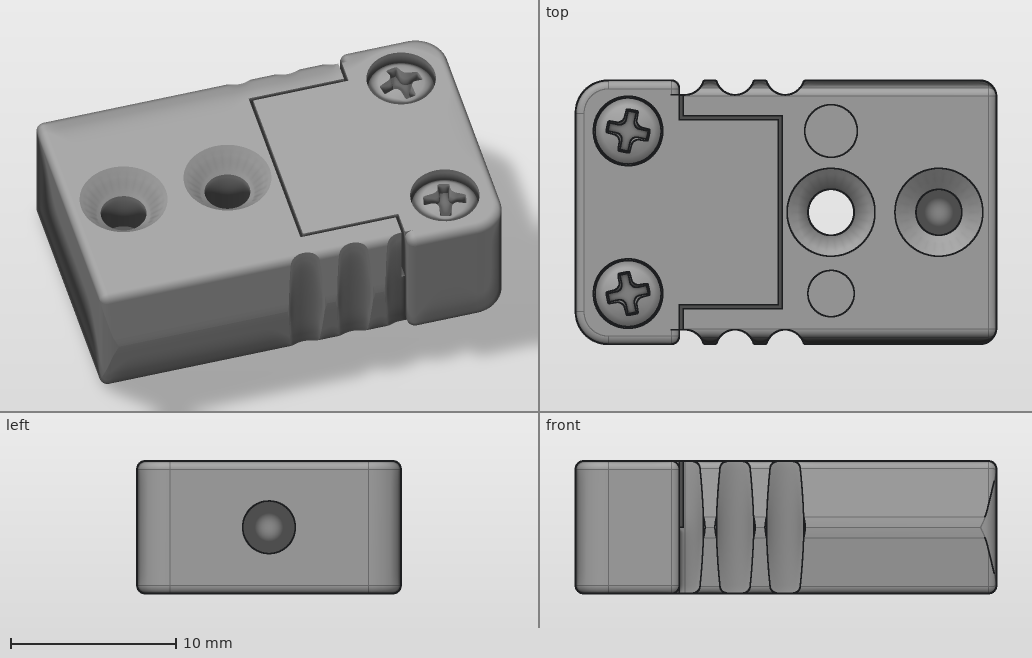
import cadquery as cq
import math

length = 25.5
width = 16.0
height = 8.03
half_width = width / 2
half_height = height / 2
edge_radius = 0.5

cap_length = 6.3
cap_corner_radius = 2.0
neck_half_width = 7.11
tongue_end = 12.3
tongue_half_width = 5.6
tongue_gap = 0.23
cable_hole_diameter = 3.2
cable_hole_depth = 5.1

draft_angle = math.radians(7.6)
crest_angle = math.radians(1.5)
band_half_height = 0.65
crown_radius = band_half_height / (math.sin(draft_angle) - math.sin(crest_angle))
band_half_width = half_width - crown_radius * (math.cos(crest_angle) - math.cos(draft_angle))
top_half_width = band_half_width - (half_height - band_half_height) * math.tan(draft_angle)
corner_radius = 1.02

groove_count = 3
groove_start = 6.63
groove_pitch = 3.03
groove_radius = 1.17
mouth_depth = 0.05
mouth_flare = 0.1

mount_hole_x = 15.48
blind_hole_x = 22.0
hole_diameter = 2.78
countersink_diameter = 5.33
countersink_angle = math.radians(90)
countersink_depth = (countersink_diameter - hole_diameter) / 2 / math.tan(countersink_angle / 2)
blind_hole_depth = half_height

disc_x = mount_hole_x
screw_y = 4.92
plus_disc_diameter = 3.2
letter_disc_diameter = 2.8
disc_thickness = 0.5

screw_x = 3.2
screw_pocket_diameter = 4.2
screw_head_diameter = 4.0
screw_rim_depth = 0.85
screw_rim_height = 0.65
screw_dome_height = 0.71
screw_turn = 12.0
drive_arm_length = 1.2
drive_arm_width = 0.5
drive_inner_radius = 0.4
drive_depth = 1.02
drive_taper = 8.0
screw_pocket_depth = screw_rim_depth + screw_rim_height


def block(x_start, x_end, block_half_width, z_start, z_end):
    """Box between two X stations, centred on Y."""
    return (
        cq.Workplane("XY", origin=((x_start + x_end) / 2, 0, z_start))
        .rect(x_end - x_start, 2 * block_half_width)
        .extrude(z_end - z_start)
    )


def top_recess(x, y, diameter, depth):
    """Cylinder reaching down from the top face."""
    return cq.Workplane("XY", origin=(x, y, half_height - depth)).circle(diameter / 2).extrude(depth)


def make_cap():
    """Rounded cable end with its tongue, cable hole and screw pockets."""
    shell = block(0, cap_length, half_width, -half_height, half_height)
    shell = shell.edges("|Z and <X").fillet(cap_corner_radius)
    shell = shell.edges("|Z and >X").fillet(edge_radius)
    shell = shell.faces("<Z or >Z").edges().fillet(edge_radius)

    neck = block(cap_length / 2, cap_length, neck_half_width, -half_height, half_height)
    tongue = block(cap_length / 2, tongue_end, tongue_half_width, 0, half_height)
    cap = shell.union(neck).union(tongue)

    cable_hole = cq.Workplane("YZ").circle(cable_hole_diameter / 2).extrude(cable_hole_depth)
    cap = cap.cut(cable_hole)
    for side in (-1, 1):
        cap = cap.cut(top_recess(screw_x, side * screw_y, screw_pocket_diameter, screw_pocket_depth))
    return cap


def make_housing_blank():
    """Crowned bar with rounded long edges and a rounded mating end."""
    section = (
        cq.Workplane("YZ", origin=(cap_length, 0, 0))
        .moveTo(-top_half_width, half_height)
        .lineTo(top_half_width, half_height)
        .lineTo(band_half_width, band_half_height)
        .radiusArc((half_width, 0), crown_radius)
        .radiusArc((band_half_width, -band_half_height), crown_radius)
        .lineTo(top_half_width, -half_height)
        .lineTo(-top_half_width, -half_height)
        .lineTo(-band_half_width, -band_half_height)
        .radiusArc((-half_width, 0), crown_radius)
        .radiusArc((-band_half_width, band_half_height), crown_radius)
        .close()
    )
    blank = section.extrude(length - cap_length)
    long_edges = blank.faces("<Z or >Z").edges("|X")
    end_edges = blank.faces(">X").edges()
    blank = blank.newObject(long_edges.vals() + end_edges.vals()).fillet(edge_radius)

    envelope = block(0, length, half_width, -half_height, half_height)
    envelope = envelope.edges("|Z and >X").fillet(corner_radius)
    return blank.intersect(envelope)


def make_groove(x, side):
    """Round upright groove with a slightly flared mouth."""
    groove_y = neck_half_width + groove_radius
    mouth_y = half_width - mouth_depth
    mouth_half_width = math.sqrt(groove_radius**2 - (groove_y - mouth_y) ** 2)
    flared_half_width = mouth_half_width + mouth_flare
    mouth = [
        (x - mouth_half_width, side * mouth_y),
        (x - flared_half_width, side * half_width),
        (x + flared_half_width, side * half_width),
        (x + mouth_half_width, side * mouth_y),
    ]
    base = cq.Workplane("XY", origin=(0, 0, -half_height))
    channel = base.center(x, side * groove_y).circle(groove_radius).extrude(height)
    return channel.union(base.polyline(mouth).close().extrude(height))


def cut_grooves(housing):
    for side in (-1, 1):
        for index in range(groove_count):
            housing = housing.cut(make_groove(groove_start + index * groove_pitch, side))

        flat_depth = half_width - neck_half_width
        flat = cq.Workplane("XY").box(
            groove_start - cap_length, flat_depth, height, centered=(False, True, True)
        )
        flat_y = side * (neck_half_width + flat_depth / 2)
        housing = housing.cut(flat.translate((cap_length, flat_y, 0)))
    return housing


def make_housing():
    """Grooved housing with the tongue seat, countersunk holes and disc recesses."""
    housing = cut_grooves(make_housing_blank())

    seat = block(cap_length, tongue_end + tongue_gap, tongue_half_width + tongue_gap, 0, half_height)
    end_gap = block(cap_length, cap_length + tongue_gap, half_width, 0, half_height)
    housing = housing.cut(seat).cut(end_gap)

    for x, depth in ((mount_hole_x, height), (blind_hole_x, blind_hole_depth)):
        cone = cq.Solid.makeCone(
            countersink_diameter / 2, hole_diameter / 2, countersink_depth,
            cq.Vector(x, 0, half_height), cq.Vector(0, 0, -1),
        )
        housing = housing.cut(top_recess(x, 0, hole_diameter, depth)).cut(cq.Workplane(cone))

    for y, diameter in ((screw_y, plus_disc_diameter), (-screw_y, letter_disc_diameter)):
        housing = housing.cut(top_recess(disc_x, y, diameter, disc_thickness))
    return housing


def make_screw(side):
    """Domed screw head with a cross drive, turned opposite ways on the two sides."""
    head_radius = screw_head_diameter / 2
    dome_top = screw_rim_height + screw_dome_height
    dome_radius = (head_radius**2 + screw_dome_height**2) / (2 * screw_dome_height)
    dome_mid_x = head_radius / 2
    dome_mid_z = dome_top - dome_radius + math.sqrt(dome_radius**2 - dome_mid_x**2)
    head = (
        cq.Workplane("XZ")
        .lineTo(head_radius, 0)
        .lineTo(head_radius, screw_rim_height)
        .threePointArc((dome_mid_x, dome_mid_z), (0, dome_top))
        .close()
        .revolve(360, (0, 0, 0), (0, 1, 0))
    )

    arm = drive_arm_length
    half = drive_arm_width / 2
    cross = [
        (half, half), (half, arm), (-half, arm), (-half, half),
        (-arm, half), (-arm, -half), (-half, -half), (-half, -arm),
        (half, -arm), (half, -half), (arm, -half), (arm, half),
    ]
    drive = cq.Workplane("XY", origin=(0, 0, dome_top - drive_depth)).polyline(cross).close()
    drive = drive.extrude(drive_depth, taper=-drive_taper)
    inner_edges = cq.selectors.BoxSelector(
        (-arm / 2, -arm / 2, 0), (arm / 2, arm / 2, dome_top)
    )
    drive = drive.edges("not #Z").edges(inner_edges).fillet(drive_inner_radius)

    screw = head.cut(drive).rotate((0, 0, 0), (0, 0, 1), -side * screw_turn)
    return screw.translate((screw_x, side * screw_y, half_height - screw_pocket_depth))


def make_disc(y, diameter):
    """Plain disc that fills its recess flush with the top face."""
    return top_recess(disc_x, y, diameter, disc_thickness)


cap = make_cap()
housing = make_housing()
screws = [make_screw(side) for side in (-1, 1)]
plus_disc = make_disc(screw_y, plus_disc_diameter)
letter_disc = make_disc(-screw_y, letter_disc_diameter)

result = cq.Compound.makeCompound([
    cap.val(),
    housing.val(),
    *[screw.val() for screw in screws],
    plus_disc.val(),
    letter_disc.val(),
])